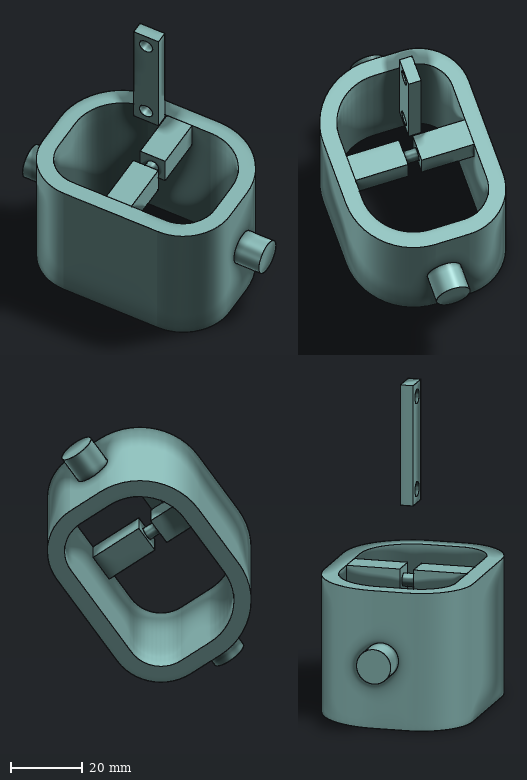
import cadquery as cq

housing_length = 60.0
housing_width = 45.0
housing_height = 40.0
wall = 4.9
rear_corner_radius = 20.0
front_corner_radius = 15.0

overall_length = 76.0
trunnion_diameter = 10.0
trunnion_seat_depth = wall / 2

overall_height = 93.5
link_length = 35.0
link_width = 8.0
link_thickness = 3.7
link_hole_diameter = 4.2
link_hole_edge_distance = link_width / 2

block_size = link_width
block_gap = 4.0
pin_diameter = 3.7
pin_seat_depth = 3.7

inner_width = housing_width - 2 * wall
block_length = (inner_width - block_gap) / 2
block_center_z = housing_height - block_size / 2
trunnion_z = housing_height / 2


def rounded_prism(inset):
    """Full-height prism of the housing outline, moved inward by the inset."""
    prism = cq.Workplane("XY").box(
        housing_length - 2 * inset,
        housing_width - 2 * inset,
        housing_height,
        centered=(True, True, False),
    )
    prism = prism.edges("|Z and >Y").fillet(rear_corner_radius - inset)
    return prism.edges("|Z and <Y").fillet(front_corner_radius - inset)


def make_trunnion(side):
    """Round stub seated in the end wall; side is -1 or +1 along X."""
    seat_x = side * (housing_length / 2 - trunnion_seat_depth)
    length = overall_length / 2 - housing_length / 2 + trunnion_seat_depth
    return (
        cq.Workplane("YZ", origin=(seat_x, 0, trunnion_z))
        .circle(trunnion_diameter / 2)
        .extrude(side * length)
    )


def make_pin():
    """Round pin along Y that bridges the gap and sits in both blocks."""
    return (
        cq.Workplane("XZ", origin=(0, 0, block_center_z))
        .circle(pin_diameter / 2)
        .extrude(block_gap / 2 + pin_seat_depth, both=True)
    )


def make_block(side, pin):
    """Square bar with a blind seat for the pin end; side is -1 or +1 along Y."""
    center_y = side * (block_gap + block_length) / 2
    block = cq.Workplane("XY").box(block_size, block_length, block_size)
    return block.translate((0, center_y, block_center_z)).cut(pin)


def make_housing(trunnions):
    """Open ring with a seat for each trunnion."""
    ring = rounded_prism(0).cut(rounded_prism(wall))
    for trunnion in trunnions:
        ring = ring.cut(trunnion)
    return ring


def make_link():
    """Upright bar with a hole through each end along Y."""
    center_z = overall_height - link_length / 2
    hole_offset = link_length / 2 - link_hole_edge_distance
    return (
        cq.Workplane("XZ", origin=(0, 0, center_z))
        .rect(link_width, link_length)
        .extrude(link_thickness / 2, both=True)
        .pushPoints([(0, -hole_offset), (0, hole_offset)])
        .circle(link_hole_diameter / 2)
        .cutThruAll()
    )


sides = (-1, 1)
trunnions = [make_trunnion(side) for side in sides]
pin = make_pin()
blocks = [make_block(side, pin) for side in sides]
housing = make_housing(trunnions)
link = make_link()

bodies = [housing, link, *trunnions, *blocks, pin]
result = cq.Compound.makeCompound([body.val() for body in bodies])